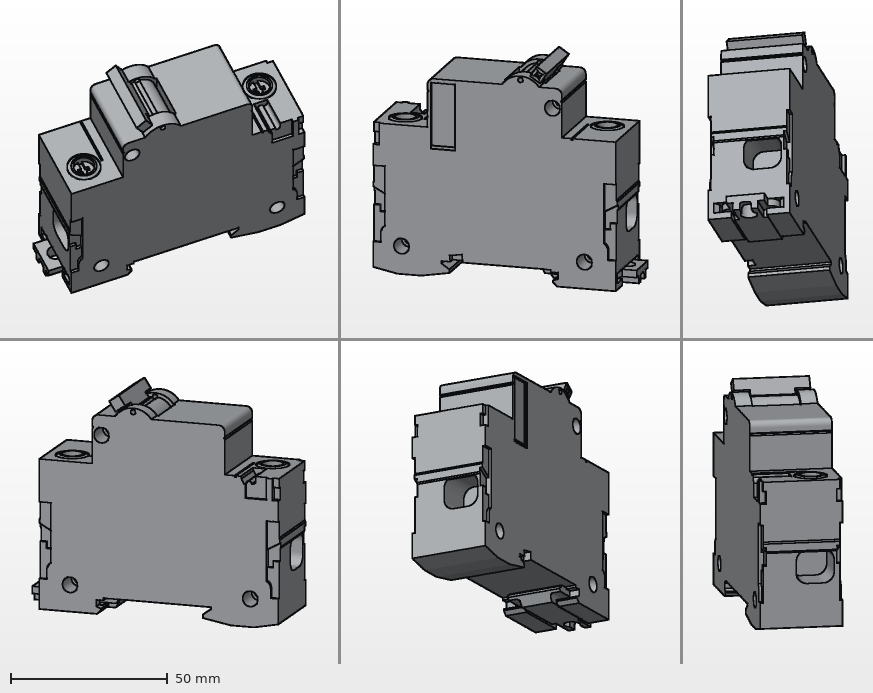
import cadquery as cq
import math


total_length = 85.9
total_height = 72.15
width = 26.7
half_width = width / 2
full_width = (-half_width, half_width)
half_length = 40.4
rib_rise = 0.3
shoulder_z = 49.4
top_z = 65.5
block_front = -22.5
block_back = 22.3
block_round = 2.15
rail_z = 5.4

foot_toe_z = 1.6
rail_lip_z = 4.6
front_foot = [
    (-20.9, 0), (-19.5, 1.4), (-19.5, 1.9), (-21.1, 2.5),
    (-21.1, rail_lip_z), (-18.7, rail_lip_z), (-18.7, rail_z),
]
rear_hook = [(17.6, rail_z), (17.6, rail_lip_z), (14.95, 2.8), (14.95, foot_toe_z)]
rear_sole = [(24.4, 0), (32.2, 0)]

pivot_y = -8.7
pivot_z = 61.1
hump_radius = 7.65
slot_half_width = 7.9
slot_radius = 6.8
pin_hole_diameter = 1.6
pin_hole_offset = 6.35

seam_groove_z = (60.9, 61.4, 61.8)
seam_groove_depth = 0.35
mount_holes = [(-19.3, 58.9), (30.9, 9.3), (-30.0, 8.85)]
mount_diameter = 2.9
mount_bore_diameter = 5.1
mount_bore_depth = 8.6
label_y = (13.05, 21.1)
label_z = (42.3, 64.2)
label_depth = 0.4
label_inset_y = 0.3
label_inset_z = 0.95
notch_length = 2.0
notch_z = (42.3, 46.3)
side_depth = 0.95
deep_side_depth = 1.9
recess_inner_y = 36.4
recess_narrow_y = 37.8
recess_top_z = 35.3
recess_bottom_z = 10.05
recess_bend_z = (13.4, 15.55)
recess_bend_mid = (37.4, 14.7)
step_riser_y = 38.3
step_slope_z = (25.8, 28.1)
step_floor_z = (19.9, 22.1)
rib_root = 0.9
rib_z = (26.2, 26.7, 29.3, 29.9)
wire_width = 12.3
wire_z = (15.9, 26.9)
wire_round = 3.6
wire_depth = 12.9
terminal_x = 4.5
terminal_y = 32.3
score_y = 25.85
score_reach = 4.3
score_width = 0.4
score_depth = 0.5
key_depth = 2.6
key_outline = [(14.95, 7.5), (10.8, 8.1), (10.5, rail_z), (14.7, rail_z)]

bay_x = (1.7, 12.3)
bay_depth = 2.6
bay_back = 32.4
bay_rib_y = (29.2, 31.0)
bay_front = 27.75
bay_lip_width = 0.2
bay_lip_depth = 0.9
bay_slope_width = 1.0
bay_slot_back = 36.4
bay_cove = 1.1

collar_diameter = 10.7
collar_rim_diameter = 8.25
collar_rise = 0.35
collar_chamfer_height = 0.8
collar_bottom_z = 44.7
screw_diameter = 6.9
screw_recess = 1.9
drive_width = 1.4
drive_short_length = 3.6
drive_depth = 1.0

lever_angle = math.radians(33.5)
drum_radius = 6.35
neck_x = (-7.65, 6.9)
handle_x = (-12.8, 12.0)
handle_base = 8.2
handle_front = 2.2
handle_rear = -1.7
star_reach = 0.65
star_waist = 0.4
star_depth = 1.7

clip_plate_z = 3.0
clip_leg_bottom = 0.5
clip_leg_half_width = 4.0
clip_spine_half_width = 5.5
clip_spine_fillet = 1.3
tab_half_width = 6.2
clip_half_width = 9.45
clip_shoulder_round = 3.4
clip_hook_y = -15.1
clip_step_y = (-16.5, -16.1)
clip_nose_z = 3.9
clip_sole_y = -17.35
pull_hole_radius = 2.7
pull_hole_y = -40.2
pull_notch_half_width = 1.9
pull_notch_round = 1.0
channel_half_width = 9.9
channel_mouth_half_width = 11.5
channel_taper_length = 1.7
channel_floor_z = 2.15
channel_rear_y = -17.2
channel_slot_half_width = 5.8


def box(x, y, z):
    """Box between the given (low, high) pairs on each axis."""
    return (
        cq.Workplane("XY", origin=(x[0], y[0], z[0]))
        .box(x[1] - x[0], y[1] - y[0], z[1] - z[0], centered=False)
    )


def prism(points, x):
    """Closed (Y, Z) outline extruded between two X positions."""
    return cq.Workplane("YZ", origin=(x[0], 0, 0)).polyline(points).close().extrude(x[1] - x[0])


def rod(y, z, radius, x):
    """Round bar along X."""
    return cq.Workplane("YZ", origin=(x[0], 0, 0)).center(y, z).circle(radius).extrude(x[1] - x[0])


def side_span(side, depth):
    """X range of a recess sunk by `depth` into the side face on the given side."""
    return tuple(sorted((side * half_width, side * (half_width - depth))))


def housing_blank():
    outline = [
        (half_length, foot_toe_z), (half_length, shoulder_z),
        (block_back, shoulder_z), (block_back, top_z),
        (block_front, top_z), (block_front, shoulder_z),
        (-half_length, shoulder_z), (-half_length, 0),
        *front_foot, *rear_hook, *rear_sole,
    ]
    blank = prism(outline, full_width)
    blank = blank.edges("|X and >Z").fillet(block_round)
    hump = rod(pivot_y, pivot_z, hump_radius, full_width)
    return blank.union(hump)


def lever_slot():
    x = (-slot_half_width, slot_half_width)
    y = (pivot_y - slot_radius, pivot_y + slot_radius)
    return rod(pivot_y, pivot_z, slot_radius, x).union(box(x, y, (pivot_z, total_height)))


def pin_hole():
    return rod(pivot_y, pivot_z + pin_hole_offset, pin_hole_diameter / 2, full_width)


def seam_groove(face, inward):
    """V groove across one end of the upper block; `inward` is the Y direction into the block."""
    low, root, high = seam_groove_z
    outline = [(face, low), (face + inward * seam_groove_depth, root), (face, high)]
    return prism(outline, full_width)


def mounting_holes():
    cutter = cq.Workplane("YZ")
    for y, z in mount_holes:
        cutter = cutter.union(rod(y, z, mount_diameter / 2, full_width))
        for side in (-1, 1):
            cutter = cutter.union(rod(y, z, mount_bore_diameter / 2, side_span(side, mount_bore_depth)))
    return cutter


def label_recess():
    """Stepped panel recess in the -X side."""
    outer = box(side_span(-1, label_depth), label_y, label_z)
    inner_y = (label_y[0] + label_inset_y, label_y[1])
    inner_z = (label_z[0] + label_inset_z, label_z[1])
    return outer.union(box(side_span(-1, 2 * label_depth), inner_y, inner_z))


def corner_notch(side):
    """Two-step notch in the upper rear corner."""
    y = (half_length - notch_length, half_length)
    upper = box(side_span(side, side_depth), y, (notch_z[0], shoulder_z))
    return upper.union(box(side_span(side, deep_side_depth), y, notch_z))


def end_recess(side, end):
    """Recess at one end of a side face, with a deeper step behind the wire entry."""
    x = side_span(side, side_depth)
    outer = half_length + rib_rise
    bend_middle = (end * recess_bend_mid[0], recess_bend_mid[1])
    bend_end = (end * recess_narrow_y, recess_bend_z[0])
    shallow = (
        cq.Workplane("YZ", origin=(x[0], 0, 0))
        .moveTo(end * outer, recess_top_z)
        .lineTo(end * recess_inner_y, recess_top_z)
        .lineTo(end * recess_inner_y, recess_bend_z[1])
        .threePointArc(bend_middle, bend_end)
        .lineTo(end * recess_narrow_y, recess_bottom_z)
        .lineTo(end * outer, recess_bottom_z)
        .close()
        .extrude(x[1] - x[0])
    )
    step = [
        (outer, step_slope_z[1]), (recess_inner_y, step_slope_z[0]),
        (recess_inner_y, step_floor_z[0]), (step_riser_y, step_floor_z[0]),
        (step_riser_y, step_floor_z[1]), (outer, step_floor_z[1]),
    ]
    deep = prism([(end * y, z) for y, z in step], side_span(side, deep_side_depth))
    return shallow.union(deep)


def wire_entry(end):
    """Round-cornered wire hole below the terminal of one end."""
    height = wire_z[1] - wire_z[0]
    inner = half_length - wire_depth
    hole = (
        cq.Workplane("XY")
        .box(wire_width, wire_depth, height)
        .edges("|Y").fillet(wire_round)
    )
    return hole.translate((-end * terminal_x, end * (inner + half_length) / 2, sum(wire_z) / 2))


def end_rib(end):
    """Low bevelled rib across one end, just above the wire hole."""
    base = end * (half_length - rib_root)
    face = end * half_length
    crest = end * (half_length + rib_rise)
    outline = [
        (base, rib_z[0]), (face, rib_z[0]), (crest, rib_z[1]),
        (crest, rib_z[2]), (face, rib_z[3]), (base, rib_z[3]),
    ]
    return prism(outline, full_width)


def score_line(end):
    """Shallow groove across part of one shoulder."""
    x = tuple(sorted((-end * score_reach, end * half_width)))
    y = end * score_y
    return box(x, (y - score_width / 2, y + score_width / 2), (shoulder_z - score_depth, shoulder_z))


def contact_bay():
    """Pocket in the rear shoulder, with a round rib across its floor and a sloped front wall."""
    floor_z = shoulder_z - bay_depth
    rib_radius = (bay_rib_y[1] - bay_rib_y[0]) / 2
    pocket = box(bay_x, (bay_rib_y[0], bay_back), (floor_z, shoulder_z))
    pocket = pocket.edges("|X and >Y and <Z").fillet(bay_cove)
    pocket = pocket.cut(rod(bay_rib_y[0] + rib_radius, floor_z, rib_radius, bay_x))
    slope = [
        (bay_rib_y[0], shoulder_z), (bay_front, shoulder_z),
        (bay_front + bay_lip_width, shoulder_z - bay_lip_depth),
        (bay_front + bay_lip_width + bay_slope_width, floor_z),
        (bay_rib_y[0], floor_z),
    ]
    side_slot = box((bay_x[1], half_width), (bay_rib_y[0], bay_slot_back), (notch_z[0], shoulder_z))
    return pocket.union(prism(slope, (bay_x[0], half_width))).union(side_slot)


def collar_seat(end):
    return (
        cq.Workplane("XY", origin=(-end * terminal_x, end * terminal_y, collar_bottom_z))
        .circle(collar_diameter / 2)
        .extrude(shoulder_z - collar_bottom_z)
    )


def rail_key():
    """Tilted pocket beside the rail seat, open to the -X side."""
    return prism(key_outline, side_span(-1, key_depth))


def clip_channel():
    """Passage for the rail clip, flared at its mouth and slotted below."""
    throat = -half_length + channel_taper_length
    outline = [
        (-channel_mouth_half_width, -half_length), (channel_mouth_half_width, -half_length),
        (channel_half_width, throat), (channel_half_width, channel_rear_y),
        (-channel_half_width, channel_rear_y), (-channel_half_width, throat),
    ]
    passage = (
        cq.Workplane("XY", origin=(0, 0, channel_floor_z))
        .polyline(outline).close()
        .extrude(rail_z - channel_floor_z)
    )
    slot_x = (-channel_slot_half_width, channel_slot_half_width)
    return passage.union(box(slot_x, (-half_length, channel_rear_y), (0, channel_floor_z)))


def make_housing():
    body = housing_blank()
    for cutter in (lever_slot(), pin_hole(), mounting_holes(), label_recess()):
        body = body.cut(cutter)
    body = body.cut(seam_groove(block_front, 1)).cut(seam_groove(block_back, -1))
    for cutter in (contact_bay(), rail_key(), clip_channel()):
        body = body.cut(cutter)
    for end in (-1, 1):
        body = body.cut(wire_entry(end)).union(end_rib(end))
        body = body.cut(collar_seat(end)).cut(score_line(end))
        for side in (-1, 1):
            body = body.cut(end_recess(side, end))
    for side in (-1, 1):
        body = body.cut(corner_notch(side))
    return body


def make_collar(end):
    """Bevelled ring around one terminal screw."""
    top = shoulder_z + collar_rise
    outer_radius = collar_diameter / 2
    bore_radius = screw_diameter / 2
    ring = (
        cq.Workplane("XZ")
        .polyline([
            (bore_radius, collar_bottom_z), (outer_radius, collar_bottom_z),
            (outer_radius, top - collar_chamfer_height), (collar_rim_diameter / 2, top),
            (bore_radius, top),
        ])
        .close()
        .revolve(360, (0, 0, 0), (0, 1, 0))
    )
    return ring.translate((-end * terminal_x, end * terminal_y, 0))


def make_screw(end):
    """Screw head with a long slot and a short cross slot."""
    head_z = shoulder_z + collar_rise - screw_recess
    drive_z = head_z - drive_depth / 2
    head = (
        cq.Workplane("XY", origin=(0, 0, collar_bottom_z))
        .circle(screw_diameter / 2)
        .extrude(head_z - collar_bottom_z)
    )
    slot = cq.Workplane("XY", origin=(0, 0, drive_z)).box(screw_diameter, drive_width, drive_depth)
    cross = cq.Workplane("XY", origin=(0, 0, drive_z)).box(drive_width, drive_short_length, drive_depth)
    return head.cut(slot).cut(cross).translate((-end * terminal_x, end * terminal_y, 0))


def lever_point(forward, outward):
    """(Y, Z) of a point given forward of and outward along the lever's tilted centre line."""
    y = pivot_y - outward * math.sin(lever_angle) - forward * math.cos(lever_angle)
    z = pivot_z + outward * math.cos(lever_angle) - forward * math.sin(lever_angle)
    return (y, z)


handle_tip = (
    (total_height - pivot_z + handle_rear * math.sin(lever_angle)) / math.cos(lever_angle)
)


def lever_bar(inner, outer, x):
    corners = [
        (handle_rear, inner), (handle_front, inner), (handle_front, outer), (handle_rear, outer),
    ]
    return prism([lever_point(*corner) for corner in corners], x)


def star_recess():
    """Four-pointed star with hollow sides, sunk into the -X end of the handle."""
    middle_forward = (handle_front + handle_rear) / 2
    middle_outward = (handle_base + handle_tip) / 2
    half_thickness = (handle_front - handle_rear) / 2
    half_reach = (handle_tip - handle_base) / 2

    def local(forward, outward):
        return lever_point(middle_forward + forward * half_thickness, middle_outward + outward * half_reach)

    star = cq.Workplane("YZ", origin=(handle_x[0], 0, 0)).moveTo(*local(star_reach, star_reach))
    for forward, outward in ((0, 1), (-1, 0), (0, -1), (1, 0)):
        waist = local(forward * star_waist, outward * star_waist)
        tip_forward = star_reach * (forward if forward else -outward)
        tip_outward = star_reach * (outward if outward else forward)
        star = star.threePointArc(waist, local(tip_forward, tip_outward))
    return star.close().extrude(star_depth)


def make_lever():
    drum = rod(pivot_y, pivot_z, drum_radius, (-slot_half_width, slot_half_width))
    neck = lever_bar(0, handle_base, neck_x)
    handle = lever_bar(handle_base, handle_tip, handle_x)
    return drum.union(neck).union(handle).cut(pin_hole()).cut(star_recess())


def clip_plate(tab_end):
    """Flat upper layer: narrow pull tab, then round shoulders and the wide sliding plate."""
    front = -half_length
    return (
        cq.Workplane("XY", origin=(0, 0, clip_plate_z))
        .moveTo(-tab_half_width, tab_end)
        .lineTo(tab_half_width, tab_end)
        .lineTo(tab_half_width, front)
        .radiusArc((clip_half_width, front + clip_shoulder_round), -clip_shoulder_round)
        .lineTo(clip_half_width, clip_hook_y)
        .lineTo(-clip_half_width, clip_hook_y)
        .lineTo(-clip_half_width, front + clip_shoulder_round)
        .radiusArc((-tab_half_width, front), -clip_shoulder_round)
        .close()
        .extrude(rail_z - clip_plate_z)
    )


def clip_legs(tab_end):
    """Lower layer: narrow under the tab, then a wider spine with hollow fillets up to the plate."""
    spine_y = (clip_shoulder_round - half_length, clip_hook_y)
    fillet_z = clip_plate_z - clip_spine_fillet
    z = (clip_leg_bottom, clip_plate_z)
    legs = box((-clip_leg_half_width, clip_leg_half_width), (tab_end, spine_y[0]), z)
    flare = clip_spine_half_width + clip_spine_fillet
    spine = box((-clip_spine_half_width, clip_spine_half_width), spine_y, z)
    spine = spine.union(box((-flare, flare), spine_y, (fillet_z, clip_plate_z)))
    hollows = (
        cq.Workplane("XZ", origin=(0, spine_y[1], fillet_z))
        .pushPoints([(-flare, 0), (flare, 0)])
        .circle(clip_spine_fillet)
        .extrude(spine_y[1] - spine_y[0])
    )
    return legs.union(spine.cut(hollows))


def make_clip():
    tab_end = half_length + rib_rise - total_length
    clip = clip_plate(tab_end).union(clip_legs(tab_end))
    profile = [
        (tab_end, clip_leg_bottom), (tab_end, rail_z),
        (clip_step_y[0], rail_z), (clip_step_y[1], rail_lip_z),
        (clip_hook_y, rail_lip_z), (clip_hook_y, clip_nose_z), (clip_sole_y, clip_leg_bottom),
    ]
    clip = clip.intersect(prism(profile, (-clip_half_width, clip_half_width)))
    pull_hole = cq.Workplane("XY").center(0, pull_hole_y).circle(pull_hole_radius).extrude(rail_z)
    notch_x = (-pull_notch_half_width, pull_notch_half_width)
    notch = box(notch_x, (tab_end, pull_hole_y), (0, clip_plate_z))
    notch = notch.edges("|Y and >Z").fillet(pull_notch_round)
    return clip.cut(pull_hole).cut(notch)


housing = make_housing()
lever = make_lever()
clip = make_clip()
collars = [make_collar(end) for end in (-1, 1)]
screws = [make_screw(end) for end in (-1, 1)]

result = cq.Compound.makeCompound([
    housing.val(),
    lever.val(),
    clip.val(),
    *[collar.val() for collar in collars],
    *[screw.val() for screw in screws],
])